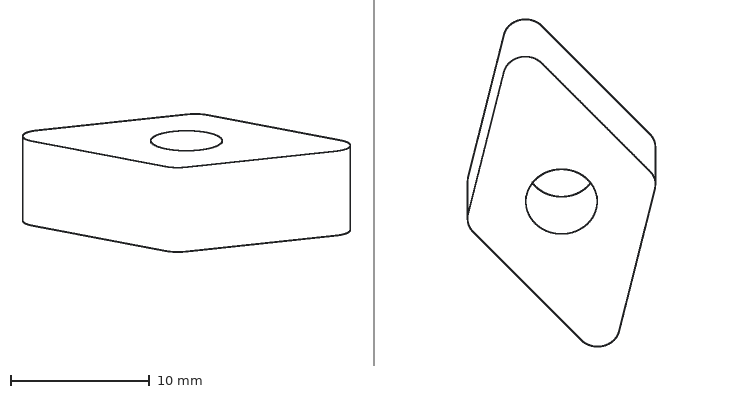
import cadquery as cq
import math

length = 21.47
width = 12.7
thickness = 6.35
acute_angle = math.radians(55)
hole_diameter = 5.15

side = width / math.sin(acute_angle)
slant_shift = side * math.cos(acute_angle)
sharp_length = side + slant_shift

tip_loss_per_radius = 1 / math.tan(acute_angle / 2) - 1
corner_radius = (sharp_length - length) / (2 * tip_loss_per_radius)

acute_x = sharp_length / 2
obtuse_x = (side - slant_shift) / 2
half_width = width / 2
corners = [
    (-acute_x, -half_width),
    (obtuse_x, -half_width),
    (acute_x, half_width),
    (-obtuse_x, half_width),
]

body = cq.Workplane("XY").polyline(corners).close().extrude(thickness)
body = body.edges("|Z").fillet(corner_radius)

result = body.faces(">Z").workplane(origin=(0, 0, thickness)).hole(hole_diameter)